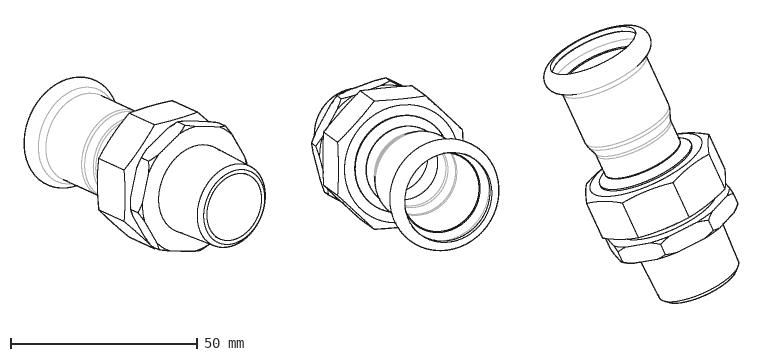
import cadquery as cq
import math


bore_radius = 9.4

wall = 1.45
socket_radius = 12.4
neck_radius = 11.1
bead_arc_radius = 3.0
bead_arc_center_radius = 12.5
bead_blend_end_x = 7.5
groove_end_angle = 30.0
mouth_cone_end_x = 5.5
mouth_cone_end_radius = 11.2
mouth_edge_length = 0.3
reducer_start_x = 23.4
reducer_end_x = 26.9
reducer_start_fillet = 3.0
reducer_end_fillet = 2.4
socket_end_x = 33.4

tail_cone_start_x = 33.65
tail_cone_end_x = 35.5
tail_radius = 13.5
flange_start_x = 37.95
joint_x = 40.9

nut_start_x = 35.9
nut_end_x = 49.5
nut_across_flats = 35.85
nut_start_face_radius = 16.4
nut_end_face_radius = 14.45
nut_start_chamfer_angle = 22.0
nut_end_chamfer_angle = 16.5

collar_radius = 14.15
wrench_start_x = 50.9
wrench_end_x = 56.0
wrench_across_flats = 35.0
wrench_turn = 7.8
wrench_chamfer = 0.95
thread_start_radius = 12.4
thread_end_radius = 11.75
thread_chamfer = 1.25
overall_length = 73.0

OCTAGON_SIDES = 8
HALF_SIDE_ANGLE = 180 / OCTAGON_SIDES


def revolve_about_x(profile):
    """Turn a closed profile of (x, radius) points around the X axis."""
    return profile.close().revolve(360, (0, 0), (1, 0))


def corner_radius(across_flats):
    """Distance from the axis to a corner of an octagon."""
    return across_flats / 2 / math.cos(math.radians(HALF_SIDE_ANGLE))


def octagon_prism(start_x, end_x, across_flats, turn):
    """Octagonal prism along X, turned about X from having flats square to Y and Z."""
    return (
        cq.Workplane("YZ")
        .workplane(offset=start_x)
        .polygon(OCTAGON_SIDES, 2 * corner_radius(across_flats))
        .extrude(end_x - start_x)
        .rotate((0, 0, 0), (1, 0, 0), turn)
    )


def point_on_bead(arc_radius, angle):
    """Point on an arc about the bead's centre; the angle in radians is measured from +X."""
    return (
        bead_arc_radius + arc_radius * math.cos(angle),
        bead_arc_center_radius + arc_radius * math.sin(angle),
    )


def round_ring(body, x, fillet):
    """Fillet the circular edge whose plane is at x."""
    margin = 0.1
    reach = 0.7
    near_x = cq.selectors.BoxSelector((x - margin, -reach, -reach), (x + margin, reach, reach))
    return body.edges(near_x).fillet(fillet)


def make_press_socket():
    blend_run = bead_blend_end_x - bead_arc_radius
    bead_rise = bead_arc_center_radius - socket_radius
    blend_radius = (blend_run**2 + bead_rise**2 - bead_arc_radius**2) / (2 * (bead_arc_radius + bead_rise))
    blend_center = (bead_blend_end_x, socket_radius + blend_radius)
    tangent_angle = math.atan2(blend_center[1] - bead_arc_center_radius, blend_run)
    middle_angle = (tangent_angle - math.pi / 2) / 2
    blend_middle = (
        blend_center[0] + blend_radius * math.sin(middle_angle),
        blend_center[1] - blend_radius * math.cos(middle_angle),
    )

    groove_radius = bead_arc_radius - wall
    groove_end = point_on_bead(groove_radius, math.radians(groove_end_angle))

    reducer_slope = math.atan2(socket_radius - neck_radius, reducer_end_x - reducer_start_x)
    inner_shift = wall * math.tan(reducer_slope / 2)

    profile = (
        cq.Workplane("XY")
        .moveTo(0, bead_arc_center_radius)
        .threePointArc(point_on_bead(bead_arc_radius, math.pi / 2), point_on_bead(bead_arc_radius, tangent_angle))
        .threePointArc(blend_middle, (bead_blend_end_x, socket_radius))
        .lineTo(reducer_start_x, socket_radius)
        .lineTo(reducer_end_x, neck_radius)
        .lineTo(socket_end_x, neck_radius)
        .lineTo(socket_end_x, bore_radius)
        .lineTo(reducer_end_x - inner_shift, bore_radius)
        .lineTo(reducer_start_x - inner_shift, socket_radius - wall)
        .lineTo(mouth_cone_end_x + mouth_edge_length, socket_radius - wall)
        .lineTo(mouth_cone_end_x, mouth_cone_end_radius)
        .lineTo(*groove_end)
        .threePointArc(point_on_bead(groove_radius, math.pi / 2), point_on_bead(groove_radius, math.pi))
    )
    socket = revolve_about_x(profile)
    socket = round_ring(socket, reducer_start_x, reducer_start_fillet)
    socket = round_ring(socket, reducer_end_x, reducer_end_fillet)
    socket = round_ring(socket, reducer_start_x - inner_shift, reducer_start_fillet - wall)
    return round_ring(socket, reducer_end_x - inner_shift, reducer_end_fillet)


def make_tailpiece():
    profile = cq.Workplane("XY").polyline(
        [
            (socket_end_x, bore_radius),
            (socket_end_x, neck_radius),
            (tail_cone_start_x, neck_radius),
            (tail_cone_end_x, tail_radius),
            (flange_start_x, tail_radius),
            (flange_start_x, collar_radius),
            (joint_x, collar_radius),
            (joint_x, bore_radius),
        ]
    )
    return revolve_about_x(profile)


def make_nut():
    prism = octagon_prism(nut_start_x, nut_end_x, nut_across_flats, HALF_SIDE_ANGLE)

    corner = corner_radius(nut_across_flats)
    start_chamfer = (corner - nut_start_face_radius) * math.tan(math.radians(nut_start_chamfer_angle))
    end_chamfer = (corner - nut_end_face_radius) * math.tan(math.radians(nut_end_chamfer_angle))
    profile = cq.Workplane("XY").polyline(
        [
            (nut_start_x, tail_radius),
            (nut_start_x, nut_start_face_radius),
            (nut_start_x + start_chamfer, corner),
            (nut_end_x - end_chamfer, corner),
            (nut_end_x, nut_end_face_radius),
            (nut_end_x, collar_radius),
            (flange_start_x, collar_radius),
            (flange_start_x, tail_radius),
        ]
    )
    return prism.intersect(revolve_about_x(profile))


def make_male_end():
    corner = corner_radius(wrench_across_flats)
    chamfered_disc = (
        cq.Workplane("YZ")
        .workplane(offset=wrench_start_x)
        .circle(corner)
        .extrude(wrench_end_x - wrench_start_x)
        .edges()
        .chamfer(wrench_chamfer)
    )
    wrench = octagon_prism(wrench_start_x, wrench_end_x, wrench_across_flats, wrench_turn)
    wrench = wrench.intersect(chamfered_disc)

    turned_profile = cq.Workplane("XY").polyline(
        [
            (joint_x, 0),
            (joint_x, collar_radius),
            (wrench_end_x, collar_radius),
            (wrench_end_x, thread_start_radius),
            (overall_length - thread_chamfer, thread_end_radius),
            (overall_length, thread_end_radius - thread_chamfer),
            (overall_length, 0),
        ]
    )
    bore = (
        cq.Workplane("YZ")
        .workplane(offset=joint_x)
        .circle(bore_radius)
        .extrude(overall_length - joint_x)
    )
    return wrench.union(revolve_about_x(turned_profile)).cut(bore)


press_socket = make_press_socket()
tailpiece = make_tailpiece()
nut = make_nut()
male_end = make_male_end()

result = cq.Compound.makeCompound([press_socket.val(), tailpiece.val(), nut.val(), male_end.val()])